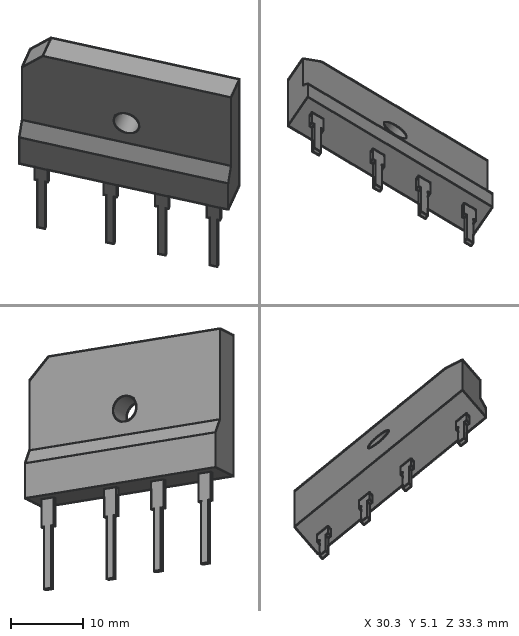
import cadquery as cq
import math

HOUSING_LENGTH = 30.3
HOUSING_DEPTH = 5.1
TOTAL_HEIGHT = 33.3
LEAD_LENGTH = 13.0
HOUSING_HEIGHT = TOTAL_HEIGHT - LEAD_LENGTH
CORNER_CHAMFER = 3.03

UPPER_DEPTH = 3.83
FOOT_STEP = HOUSING_DEPTH - UPPER_DEPTH
FOOT_HEIGHT = 5.03
FOOT_SLOPE_ANGLE = 30.0
FOOT_SLOPE_HEIGHT = FOOT_STEP / math.tan(math.radians(FOOT_SLOPE_ANGLE))

HOLE_DIAMETER = 3.7
HOLE_HEIGHT = 11.0

SHOULDER_WIDTH = 1.93
SHOULDER_LENGTH = 4.0
PIN_WIDTH = 1.1
LEAD_THICKNESS = 0.6
LEAD_CENTER_Y = 1.9
END_MARGIN = 2.65
LEAD_PITCH = 7.5
FIRST_LEAD_X = END_MARGIN
LAST_LEAD_X = HOUSING_LENGTH - END_MARGIN
LEAD_POSITIONS = [
    FIRST_LEAD_X,
    LAST_LEAD_X - 2 * LEAD_PITCH,
    LAST_LEAD_X - LEAD_PITCH,
    LAST_LEAD_X,
]


def make_housing():
    """Stepped slab with a sloped foot, one cut corner and a mounting hole."""
    side_profile = [
        (0, 0),
        (HOUSING_DEPTH, 0),
        (HOUSING_DEPTH, HOUSING_HEIGHT),
        (FOOT_STEP, HOUSING_HEIGHT),
        (FOOT_STEP, FOOT_HEIGHT + FOOT_SLOPE_HEIGHT),
        (0, FOOT_HEIGHT),
    ]
    slab = cq.Workplane("YZ").polyline(side_profile).close().extrude(HOUSING_LENGTH)
    slab = slab.edges("|Y and >Z and <X").chamfer(CORNER_CHAMFER)

    hole = (
        cq.Workplane("XZ")
        .center(HOUSING_LENGTH / 2, HOLE_HEIGHT)
        .circle(HOLE_DIAMETER / 2)
        .extrude(-HOUSING_DEPTH)
    )
    return slab.cut(hole).solids()


def make_lead(center_x):
    """Flat stepped lead hanging from the underside of the housing."""
    top_center = (center_x, LEAD_CENTER_Y, 0)
    box_centering = (True, True, False)
    shoulder = (
        cq.Workplane("XY", origin=top_center)
        .box(SHOULDER_WIDTH, LEAD_THICKNESS, SHOULDER_LENGTH, centered=box_centering)
        .translate((0, 0, -SHOULDER_LENGTH))
    )
    pin = (
        cq.Workplane("XY", origin=top_center)
        .box(PIN_WIDTH, LEAD_THICKNESS, LEAD_LENGTH, centered=box_centering)
        .translate((0, 0, -LEAD_LENGTH))
    )
    return shoulder.union(pin).solids()


housing = make_housing()
leads = [make_lead(center_x) for center_x in LEAD_POSITIONS]

result = cq.Compound.makeCompound([housing.val(), *[lead.val() for lead in leads]])